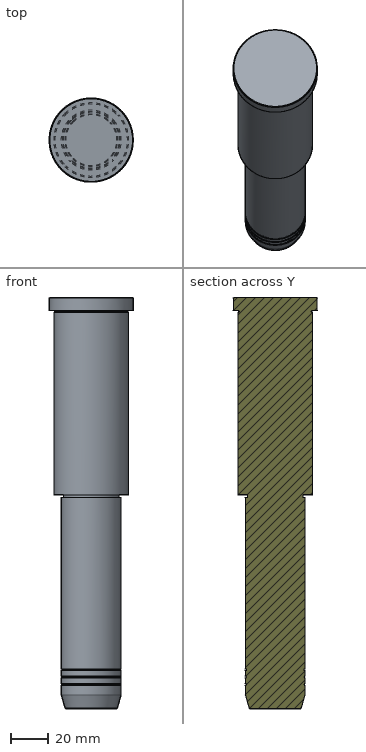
import cadquery as cq

total_length = 220.0

head_diameter = 45.0
head_height = 7.0
head_bevel = 0.5

body_diameter = 40.0
body_end_depth = 105.5

shaft_diameter = 32.1
shaft_neck_width = 1.3
shaft_neck_depth = 1.0

groove_width = 1.0
groove_depth = 0.7
groove_count = 3
groove_pitch = 4.0
lowest_groove_z = 13.0

nose_height = 7.5
nose_tip_diameter = 28.2
nose_tip_bevel = 0.5

head_bottom_z = total_length - head_height
body_bottom_z = total_length - body_end_depth
body_radius = body_diameter / 2
shaft_radius = shaft_diameter / 2
nose_tip_radius = nose_tip_diameter / 2


def disc(radius, bottom_z, height):
    """Solid cylinder on the pin axis."""
    return cq.Workplane("XY").workplane(offset=bottom_z).circle(radius).extrude(height)


def v_groove(surface_radius, center_z):
    """Ring that cuts a V-shaped groove into a cylinder."""
    half_width = groove_width / 2
    return (
        cq.Workplane("XZ")
        .moveTo(surface_radius, center_z - half_width)
        .lineTo(surface_radius - groove_depth, center_z)
        .lineTo(surface_radius, center_z + half_width)
        .close()
        .revolve(360, (0, 0, 0), (0, 1, 0))
    )


def make_head():
    """Flange with its top edge bevelled."""
    return disc(head_diameter / 2, head_bottom_z, head_height).faces(">Z").chamfer(head_bevel)


def make_body():
    """Thick cylinder with a V groove directly under the head."""
    body = disc(body_radius, body_bottom_z, head_bottom_z - body_bottom_z)
    return body.cut(v_groove(body_radius, head_bottom_z - groove_width / 2))


def make_shaft():
    """Slim cylinder with a narrow neck on top and evenly spaced grooves near the nose."""
    neck_bottom_z = body_bottom_z - shaft_neck_width
    shaft = disc(shaft_radius, nose_height, neck_bottom_z - nose_height)
    for index in range(groove_count):
        shaft = shaft.cut(v_groove(shaft_radius, lowest_groove_z + index * groove_pitch))
    return shaft.union(disc(shaft_radius - shaft_neck_depth, neck_bottom_z, shaft_neck_width))


def make_nose():
    """Cone narrowing from the shaft to a bevelled tip."""
    return (
        cq.Workplane("XZ")
        .lineTo(nose_tip_radius - nose_tip_bevel, 0)
        .lineTo(nose_tip_radius, nose_tip_bevel)
        .lineTo(shaft_radius, nose_height)
        .lineTo(0, nose_height)
        .close()
        .revolve(360, (0, 0, 0), (0, 1, 0))
    )


result = make_head().union(make_body()).union(make_shaft()).union(make_nose())